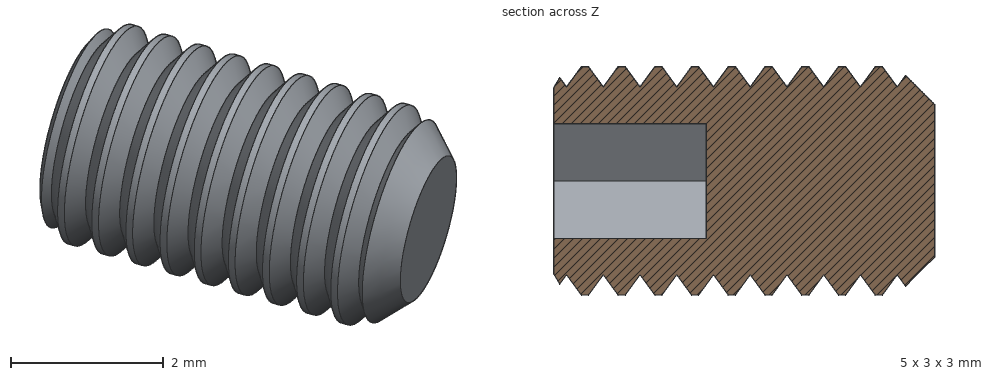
import cadquery as cq
import math

length = 5.0
crest_radius = 1.5
root_radius = 1.235

crest_width = 0.095
ring_count = 9
first_root_x = 0.17
last_root_x = 4.505
pitch = (last_root_x - first_root_x) / ring_count
flank_width = (pitch - crest_width) / 2
flank_slope = (crest_radius - root_radius) / flank_width

socket_face_radius = 1.22
socket_peak_x = 0.08
socket_peak_radius = root_radius + (first_root_x - socket_peak_x) * flank_slope

point_length = 0.385
point_peak_x = length - point_length
point_peak_radius = root_radius + (point_peak_x - last_root_x) * flank_slope
point_face_radius = point_peak_radius - point_length

socket_across_flats = 1.5
socket_across_corners = socket_across_flats / math.cos(math.radians(30))
socket_depth = 2.0


def ring_points(root_x):
    """Half-profile of one thread ring, starting at the root before it."""
    crest_start = root_x + flank_width
    return [
        (root_x, root_radius),
        (crest_start, crest_radius),
        (crest_start + crest_width, crest_radius),
    ]


def threaded_body():
    """Revolve the half-profile about the X axis."""
    outline = [(0, 0), (0, socket_face_radius), (socket_peak_x, socket_peak_radius)]
    for ring in range(ring_count):
        outline += ring_points(first_root_x + ring * pitch)
    outline += [
        (last_root_x, root_radius),
        (point_peak_x, point_peak_radius),
        (length, point_face_radius),
        (length, 0),
    ]
    return cq.Workplane("XY").polyline(outline).close().revolve(360, (0, 0, 0), (1, 0, 0))


def hexagon_socket():
    """Blind hexagonal prism entering from the face at x = 0."""
    return (
        cq.Workplane("YZ")
        .transformed(rotate=(0, 0, 90))
        .polygon(6, socket_across_corners)
        .extrude(socket_depth)
    )


result = threaded_body().cut(hexagon_socket())